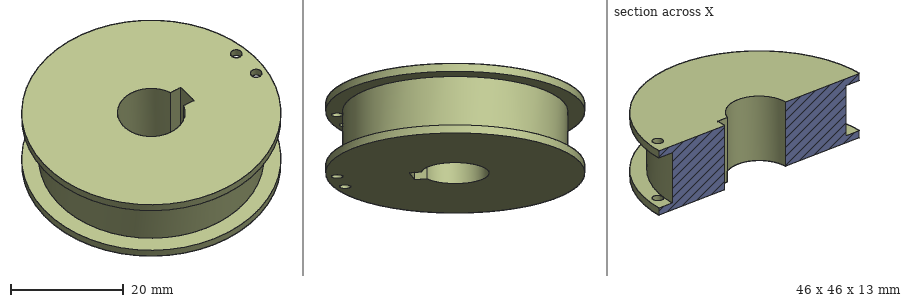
import cadquery as cq

flange_diameter = 46.0
drum_diameter = 40.0
flange_thickness = 1.5
drum_width = 10.0
total_width = drum_width + 2 * flange_thickness

bore_diameter = 12.0
keyway_width = 4.0
keyway_top = 7.9

hole_diameter = 2.0
hole_spacing = 6.0
hole_y = 20.8


def make_body():
    """Drum with a flange at each end, resting on Z = 0."""
    lower_flange = cq.Workplane("XY").circle(flange_diameter / 2).extrude(flange_thickness)
    drum = cq.Workplane("XY").circle(drum_diameter / 2).extrude(total_width)
    upper_flange = lower_flange.translate((0, 0, flange_thickness + drum_width))
    return drum.union(lower_flange).union(upper_flange)


def make_keyed_bore():
    """Through bore with a rectangular keyway on the +Y side."""
    bore = cq.Workplane("XY").circle(bore_diameter / 2).extrude(total_width)
    keyway = (
        cq.Workplane("XY")
        .center(0, keyway_top / 2)
        .rect(keyway_width, keyway_top)
        .extrude(total_width)
    )
    return bore.union(keyway)


def make_flange_holes(flange_base):
    """Cutters for the two holes in the flange whose lower face is at flange_base."""
    hole_x = hole_spacing / 2
    return (
        cq.Workplane("XY")
        .workplane(offset=flange_base)
        .pushPoints([(-hole_x, hole_y), (hole_x, hole_y)])
        .circle(hole_diameter / 2)
        .extrude(flange_thickness)
    )


result = make_body().cut(make_keyed_bore())
for flange_base in (0, flange_thickness + drum_width):
    result = result.cut(make_flange_holes(flange_base))